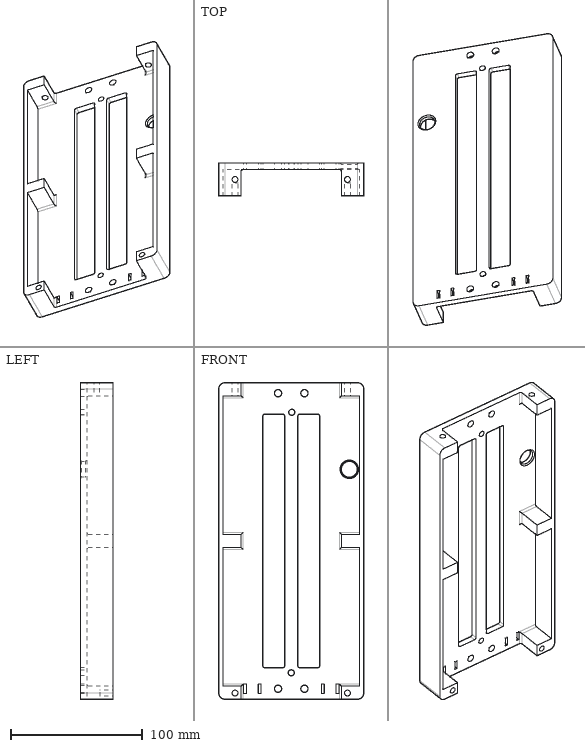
import cadquery as cq
import math

width = 110.0
depth = 25.0
height = 240.0
corner_radius = 4.8
plate_thickness = 5.0
wall_thickness = 3.2

half_width = width / 2
half_height = height / 2
plate_front = depth - plate_thickness

post_reach = 17.0
post_height = 10.0
post_base_fillet = 1.5
post_centers_z = (
    half_height - post_height / 2,
    0.0,
    -half_height + post_height / 2,
)

screw_diameter = 4.4
bottom_screw_depth = 10.0
screw_x = 42.6
screw_y = depth / 2
bottom_screw_z = -115.2

window_inner_x = 5.0
window_outer_x = 21.5
window_height = 192.0
window_corner_radius = 1.5

mount_diameter = 5.3
mount_x = 10.0
mount_z = 112.0
center_hole_diameter = 4.4
center_holes = ((0.4, 97.5), (0.0, -99.9))

cable_diameter = 12.0
cable_rim_chamfer = 1.0
cable_x = 44.0
cable_z = 54.3

tie_width = 2.0
tie_height = 7.0
tie_z = -112.0
tie_offsets_x = (24.0, 35.0)


def box(x_min, x_max, y_min, y_max, z_min, z_max):
    """Axis-aligned box between the given limits."""
    size = (x_max - x_min, y_max - y_min, z_max - z_min)
    return cq.Workplane("XY").box(*size, centered=False).translate((x_min, y_min, z_min))


def cylinder_y(diameter, x, z, y_start, length):
    """Cylinder running toward +Y from y_start."""
    base = cq.Vector(x, y_start, z)
    return cq.Workplane(cq.Solid.makeCylinder(diameter / 2, length, base, cq.Vector(0, 1, 0)))


def plate_hole(diameter, x, z):
    """Cutter for a round hole through the back plate."""
    return cylinder_y(diameter, x, z, plate_front, plate_thickness)


def outer_block():
    """Full envelope with rounded corners along Y."""
    block = box(-half_width, half_width, 0, depth, -half_height, half_height)
    return block.edges("|Y").fillet(corner_radius)


def flared_bar(start, end, length):
    """Bar along Y whose sides curve outward into the back plate; (start, end) is its width span."""
    free_length = plate_front - post_base_fillet
    flare = post_base_fillet
    arc_middle = flare * (1 - math.sqrt(0.5))
    return (
        cq.Workplane("XY")
        .moveTo(start, 0)
        .lineTo(end, 0)
        .lineTo(end, free_length)
        .threePointArc((end + arc_middle, plate_front - arc_middle), (end + flare, plate_front))
        .lineTo(start - flare, plate_front)
        .threePointArc((start - arc_middle, plate_front - arc_middle), (start, free_length))
        .close()
        .extrude(length / 2, both=True)
    )


def post(side, z_center):
    """Post on one side wall; its foot fillets meet in a mitred corner."""
    center_x = side * (half_width - post_reach / 2)
    across_x = flared_bar(center_x - post_reach / 2, center_x + post_reach / 2, height)
    across_z = flared_bar(-post_height / 2, post_height / 2, width)
    across_z = across_z.rotate((0, 0, 0), (0, 1, 0), 90).translate((0, 0, z_center))
    return across_x.intersect(across_z)


def frame():
    """Back plate, side walls and posts trimmed to the rounded envelope."""
    wall_center_x = half_width - wall_thickness / 2
    body = box(-half_width, half_width, plate_front, depth, -half_height, half_height)
    for side in (-1, 1):
        wall = cq.Workplane("XY").box(wall_thickness, depth, height)
        wall = wall.translate((side * wall_center_x, depth / 2, 0))
        body = body.union(wall)
        for z_center in post_centers_z:
            body = body.union(post(side, z_center))
    return body.intersect(outer_block())


def cut_windows(body):
    """Cut the two long windows."""
    window_width = window_outer_x - window_inner_x
    center_x = (window_outer_x + window_inner_x) / 2
    for side in (-1, 1):
        window = cq.Workplane("XY").box(window_width, plate_thickness, window_height)
        window = window.edges("|Y").fillet(window_corner_radius)
        body = body.cut(window.translate((side * center_x, plate_front + plate_thickness / 2, 0)))
    return body


def cut_plate_holes(body):
    """Cut the mounting holes and the two holes on the middle bar."""
    for x in (-mount_x, mount_x):
        for z in (-mount_z, mount_z):
            body = body.cut(plate_hole(mount_diameter, x, z))
    for x, z in center_holes:
        body = body.cut(plate_hole(center_hole_diameter, x, z))
    return body


def cut_cable_hole(body):
    """Cut the cable hole and the chamfers on its front and back rims."""
    body = body.cut(plate_hole(cable_diameter, cable_x, cable_z))
    radius = cable_diameter / 2
    for rim_y, inward in ((plate_front, 1), (depth, -1)):
        rim = cq.Solid.makeCone(
            radius + cable_rim_chamfer,
            radius,
            cable_rim_chamfer,
            cq.Vector(cable_x, rim_y, cable_z),
            cq.Vector(0, inward, 0),
        )
        body = body.cut(cq.Workplane(rim))
    return body


def cut_tie_slots(body):
    """Cut the narrow slots through the plate, mirrored about the middle."""
    for offset in tie_offsets_x:
        for x in (-offset, offset):
            slot = cq.Workplane("XY").box(tie_width, plate_thickness, tie_height)
            body = body.cut(slot.translate((x, plate_front + plate_thickness / 2, tie_z)))
    return body


def cut_screw_holes(body):
    """Drill through the top posts from above and into the bottom posts from the front."""
    for x in (-screw_x, screw_x):
        top_base = cq.Vector(x, screw_y, half_height - post_height)
        top_hole = cq.Solid.makeCylinder(screw_diameter / 2, post_height, top_base)
        body = body.cut(cq.Workplane(top_hole))
        body = body.cut(cylinder_y(screw_diameter, x, bottom_screw_z, 0, bottom_screw_depth))
    return body


result = frame()
result = cut_windows(result)
result = cut_plate_holes(result)
result = cut_cable_hole(result)
result = cut_tie_slots(result)
result = cut_screw_holes(result)